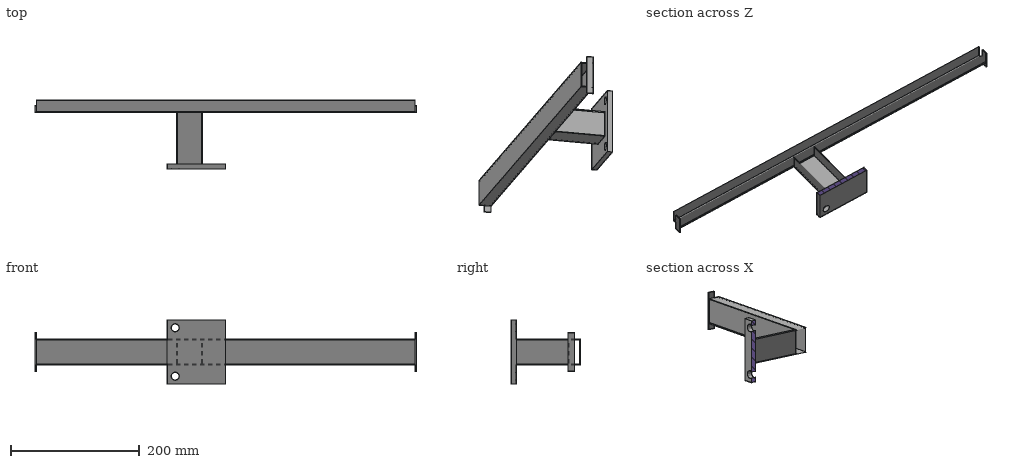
import cadquery as cq

overall_length = 592.0
end_strip_thickness = 2.0
rail_length = overall_length - 2 * end_strip_thickness
rail_depth = 19.5
rail_height = 40.0
rail_wall = 1.5

end_strip_width = 10.5
end_strip_height = 60.0

plate_offset = -45.5
plate_width = 90.5
plate_height = 100.0
plate_thickness = 8.0
overall_depth = 108.0
stem_width = rail_height
stem_height = rail_height
stem_wall = rail_wall
stem_length = overall_depth - plate_thickness - rail_depth
stem_offset = -56.0

hole_diameter = 12.0
hole_edge_distance = 12.5
hole_spacing = plate_height - 2 * hole_edge_distance

stem_start = plate_thickness
rail_front = stem_start + stem_length


def block(width, depth, height, x_centre, y_front):
    """Box centred on X and Z, reaching from y_front towards +Y."""
    return (
        cq.Workplane("XY")
        .box(width, depth, height, centered=(True, False, True))
        .translate((x_centre, y_front, 0))
    )


def make_rail():
    outer = block(rail_length, rail_depth, rail_height, 0, rail_front)
    bore = block(
        rail_length,
        rail_depth - 2 * rail_wall,
        rail_height - 2 * rail_wall,
        0,
        rail_front + rail_wall,
    )
    return outer.cut(bore)


def make_base_plate():
    plate = block(plate_width, plate_thickness, plate_height, plate_offset, 0)
    hole_x = plate_offset - plate_width / 2 + hole_edge_distance
    holes = (
        cq.Workplane("XZ")
        .pushPoints([(hole_x, side * hole_spacing / 2) for side in (-1, 1)])
        .circle(hole_diameter / 2)
        .extrude(-plate_thickness)
    )
    return plate.cut(holes)


def make_stem():
    """Square tube along Y, closed off by the plate and the rail."""
    outer = block(stem_width, stem_length, stem_height, stem_offset, stem_start)
    bore = block(
        stem_width - 2 * stem_wall,
        stem_length,
        stem_height - 2 * stem_wall,
        stem_offset,
        stem_start,
    )
    return outer.cut(bore)


def make_end_strip(side):
    """Strip flush with the rail front, on the -X (-1) or +X (1) end."""
    x_centre = side * (rail_length + end_strip_thickness) / 2
    return block(end_strip_thickness, end_strip_width, end_strip_height, x_centre, rail_front)


rail = make_rail()
base_plate = make_base_plate()
stem = make_stem()
end_strips = [make_end_strip(side) for side in (-1, 1)]

result = cq.Compound.makeCompound(
    [rail.val(), base_plate.val(), stem.val(), *[strip.val() for strip in end_strips]]
)